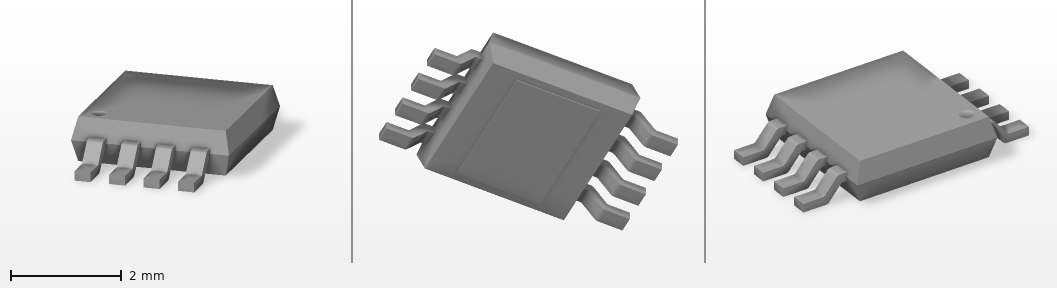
import cadquery as cq
import math

body_length_x = 3.0
body_length_y = 3.04
face_length_x = 2.8
face_length_y = 2.8
standoff = 0.02
top_z = 0.87
parting_z = (standoff + top_z) / 2

pad_length_x = 2.46
pad_length_y = 1.67

leads_per_side = 4
lead_pitch = 0.656
lead_width = 0.305
lead_thickness = 0.18
lead_span = 4.9
lead_root_y = 1.3
shoulder_z = parting_z + lead_thickness / 2
slope_angle = 50.0
foot_bend_y = 2.0
outer_bend_radius = 0.09
inner_bend_radius = 0.05

dimple_x = -1.1
dimple_y = -1.12
dimple_diameter = 0.3
dimple_depth = 0.04


def tapered_half(face_z):
    """Half of the body, from the parting line to the smaller face at face_z."""
    return (
        cq.Workplane("XY", origin=(0, 0, parting_z))
        .rect(body_length_x, body_length_y)
        .workplane(offset=face_z - parting_z)
        .rect(face_length_x, face_length_y)
        .loft(ruled=True)
    )


def exposed_pad():
    """Thin pad filling the standoff below the body."""
    return cq.Workplane("XY").rect(pad_length_x, pad_length_y).extrude(standoff)


def bend_selector(x, bend):
    """Selects the sharp edge across the lead at x for a bend given as (y, z)."""
    return cq.selectors.NearestToPointSelector((x, *bend))


def lead(x):
    """One lead on the +Y side, centred at x."""
    slope = math.radians(slope_angle)
    slope_run = (shoulder_z - lead_thickness) / math.tan(slope)
    shoulder_bend_y = foot_bend_y - slope_run
    miter_shift = lead_thickness * math.tan(slope / 2)
    tip_y = lead_span / 2
    upper_bends = [(shoulder_bend_y, shoulder_z), (foot_bend_y, lead_thickness)]
    lower_bends = [
        (foot_bend_y - miter_shift, 0),
        (shoulder_bend_y - miter_shift, shoulder_z - lead_thickness),
    ]
    profile = [(lead_root_y, shoulder_z), *upper_bends, (tip_y, lead_thickness), (tip_y, 0)]
    profile += [*lower_bends, (lead_root_y, shoulder_z - lead_thickness)]
    strip = (
        cq.Workplane("YZ", origin=(x - lead_width / 2, 0, 0))
        .polyline(profile)
        .close()
        .extrude(lead_width)
    )
    bends = upper_bends + lower_bends
    radii = [outer_bend_radius, inner_bend_radius, outer_bend_radius, inner_bend_radius]
    for bend, radius in zip(bends, radii):
        strip = strip.edges(bend_selector(x, bend)).fillet(radius)
    return strip


def dimple():
    """Sphere whose lowest point sits dimple_depth below the top face."""
    rim_radius = dimple_diameter / 2
    sphere_radius = (rim_radius**2 + dimple_depth**2) / (2 * dimple_depth)
    centre_z = top_z - dimple_depth + sphere_radius
    return cq.Workplane("XZ", origin=(dimple_x, dimple_y, centre_z)).sphere(sphere_radius)


result = tapered_half(top_z).union(tapered_half(standoff)).union(exposed_pad())
for index in range(leads_per_side):
    lead_x = (index - (leads_per_side - 1) / 2) * lead_pitch
    result = result.union(lead(lead_x)).union(lead(lead_x).mirror("XZ"))
result = result.cut(dimple())